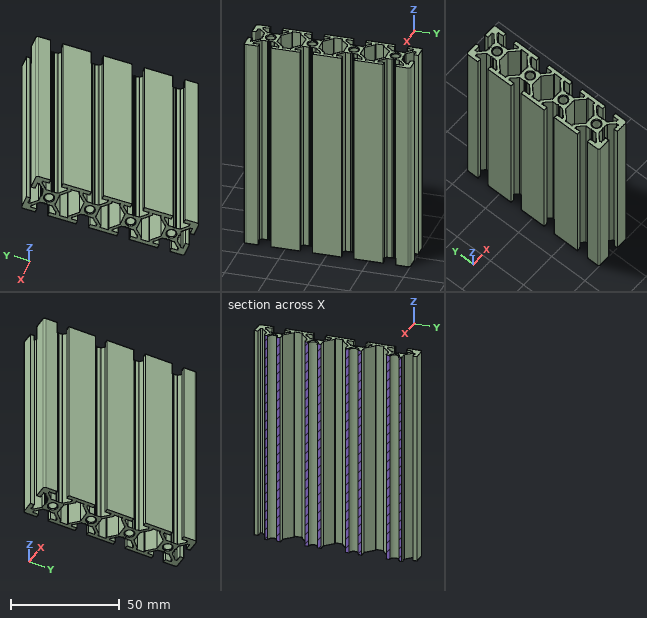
import cadquery as cq

cell_count = 4
cell_width = 20.0
length = 104.0
corner_radius = 1.0

cavity_width = 16.0
slot_opening = 6.0
slot_pocket_width = 12.1

core_width = 8.0
web_slot_offset = 1.0
web_hollow_offset = 0.9
bore_diameter = 4.2
bore_mouth_diameter = 5.0
bore_mouth_depth = 0.4
groove_width = 0.9
groove_depth = 0.4

tooth_start = 0.8
tooth_bottom = 1.1
tooth_end = 2.5
tooth_depth = 0.26

half_cell = cell_width / 2
half_core = core_width / 2
half_pocket = slot_pocket_width / 2
half_opening = slot_opening / 2
wall_inside = cavity_width / 2
web_bend = half_pocket + web_slot_offset
body_width = cell_count * cell_width
cell_centers = [(i - (cell_count - 1) / 2) * cell_width for i in range(cell_count)]


def slot_cutter(center_y, angle):
    """T-slot opening toward +X from a cell center, turned about that center."""
    upper_side = [
        (half_cell, half_opening),
        (wall_inside, half_opening),
        (wall_inside, half_pocket),
        (web_bend, half_pocket),
        (half_core, half_core - web_slot_offset),
    ]
    lower_side = [(x, -y) for x, y in reversed(upper_side)]
    v_groove = [
        (half_core, groove_width / 2),
        (half_core - groove_depth, 0),
        (half_core, -groove_width / 2),
    ]
    saw_tooth = [
        (half_core, tooth_end),
        (half_core - tooth_depth, tooth_bottom),
        (half_core, tooth_start),
    ]
    outline = upper_side + saw_tooth + v_groove + lower_side
    cutter = cq.Workplane("XY").polyline(outline).close().extrude(length)
    return cutter.rotate((0, 0, 0), (0, 0, 1), angle).translate((0, center_y, 0))


def hollow_cutter(center_y):
    """Closed chamber between two neighbouring cores, centered on center_y."""
    half_wall = half_cell - web_bend - web_hollow_offset
    half_height = half_cell - half_core
    upper_right = [
        (wall_inside, half_wall),
        (web_bend, half_wall),
        (half_core - web_hollow_offset, half_height),
    ]
    upper_left = [(-x, y) for x, y in reversed(upper_right)]
    lower = [(-x, -y) for x, y in upper_right + upper_left]
    outline = upper_right + upper_left + lower
    return cq.Workplane("XY").polyline(outline).close().extrude(length).translate((0, center_y, 0))


def bore_cutter(center_y):
    """Through bore with a countersunk mouth at each end."""
    bore_radius = bore_diameter / 2
    mouth_radius = bore_mouth_diameter / 2
    half_section = [
        (0, 0),
        (mouth_radius, 0),
        (bore_radius, bore_mouth_depth),
        (bore_radius, length - bore_mouth_depth),
        (mouth_radius, length),
        (0, length),
    ]
    bore = cq.Workplane("XZ").polyline(half_section).close().revolve(360, (0, 0), (0, 1))
    return bore.translate((0, center_y, 0))


result = cq.Workplane("XY").rect(cell_width, body_width).extrude(length).edges("|Z").fillet(corner_radius)

for center_y in cell_centers:
    result = result.cut(bore_cutter(center_y))
    for angle in (0, 180):
        result = result.cut(slot_cutter(center_y, angle))

result = result.cut(slot_cutter(cell_centers[0], -90))
result = result.cut(slot_cutter(cell_centers[-1], 90))

for center_y in cell_centers[:-1]:
    result = result.cut(hollow_cutter(center_y + half_cell))